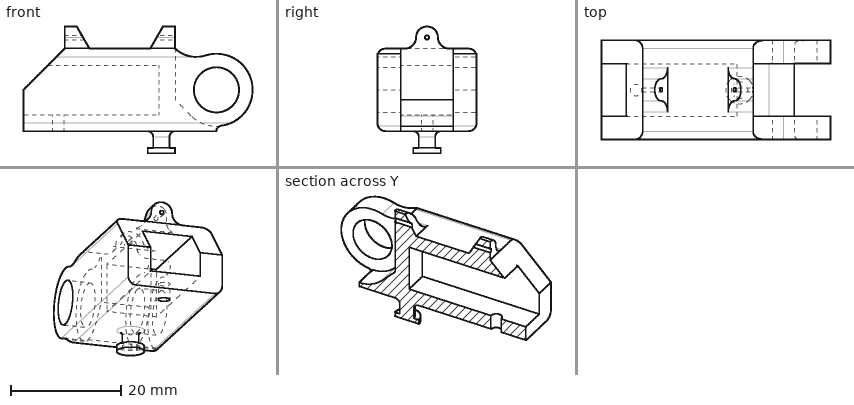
import cadquery as cq
import math

BODY_WIDTH = 18.0
BODY_HEIGHT = 15.0
EDGE_RADIUS = 1.5
WALL = 3.0
MID_Z = BODY_HEIGHT / 2
NOSE_BEVEL = BODY_HEIGHT - MID_Z

EYE_X = 35.0
EYE_BORE_DIAMETER = 8.14
EYE_RING = 2.5
EYE_RADIUS = EYE_BORE_DIAMETER / 2 + EYE_RING
NECK_X = 33.0

POCKET_WIDTH = 9.5
GAP_START_X = 27.5
RAMP_DEGREES = 45.0
POCKET_END_X = GAP_START_X - WALL
FLOOR_HOLE_DIAMETER = 2.1
FLOOR_HOLE_X = 6.25

LUG_HEIGHT = 4.0
LUG_LENGTH = 4.5
LUG_RADIUS = 2.0
LUG_HALF_BASE = 4.0
LUG_SLOPE_DEGREES = 60.0
LUG_HOLE_DIAMETER = 0.75

PIN_DIAMETER = 3.0
PIN_HEAD_DIAMETER = 5.0
PIN_LENGTH = 4.0
PIN_HEAD_THICKNESS = 1.0
PIN_FILLET = 1.0
PIN_X = GAP_START_X - PIN_HEAD_DIAMETER / 2

OVERLAP = 0.5


def cylinder_along_y(radius, x, z):
    """Cylinder across the full body width, with its axis along Y."""
    return cq.Workplane("XZ", origin=(x, 0, z)).circle(radius).extrude(BODY_WIDTH / 2, both=True)


def block(x_start, x_end, width, z_start, z_end):
    """Box centred on Y between the given X and Z limits."""
    size = (x_end - x_start, width, z_end - z_start)
    return cq.Workplane("XY").box(*size, centered=(False, True, False)).translate((x_start, 0, z_start))


def neck_direction():
    """Unit X and Z direction from the eye centre to the neck, where the top hollow meets the eye."""
    neck_dx = (NECK_X - EYE_X) / EYE_RADIUS
    return neck_dx, math.sqrt(1 - neck_dx**2)


def top_hollow():
    """Centre X, centre Z and radius of the hollow tangent to the eye and starting at the top of the gap wall."""
    neck_dx, neck_dz = neck_direction()
    run = NECK_X - GAP_START_X
    drop = BODY_HEIGHT - (MID_Z + EYE_RADIUS * neck_dz)
    radius = (run**2 + drop**2) / (2 * (drop * neck_dz - run * neck_dx))
    reach = EYE_RADIUS + radius
    return EYE_X + reach * neck_dx, MID_Z + reach * neck_dz, radius


def side_profile():
    """Side outline: bevelled nose, round eye, and hollows blending the eye into the bar."""
    neck_dx, neck_dz = neck_direction()
    neck_z = MID_Z + EYE_RADIUS * neck_dz
    hollow_x, hollow_z, hollow_radius = top_hollow()
    start_angle = math.atan2(BODY_HEIGHT - hollow_z, GAP_START_X - hollow_x)
    end_angle = math.atan2(-neck_dz, -neck_dx)
    mid_angle = (start_angle + end_angle) / 2
    hollow_mid = (
        hollow_x + hollow_radius * math.cos(mid_angle),
        hollow_z + hollow_radius * math.sin(mid_angle),
    )

    fillet_radius = (MID_Z**2 - EYE_RADIUS**2) / (2 * EYE_RADIUS)
    fillet_x = EYE_X + fillet_radius
    touch_angle = math.atan2(MID_Z, -fillet_radius)
    touch = (
        fillet_x + fillet_radius * math.cos(touch_angle),
        fillet_radius * math.sin(touch_angle),
    )
    fillet_mid_angle = (math.pi + touch_angle) / 2
    fillet_mid = (
        fillet_x + fillet_radius * math.cos(fillet_mid_angle),
        fillet_radius * math.sin(fillet_mid_angle),
    )

    return (
        cq.Workplane("XZ")
        .moveTo(0, 0)
        .lineTo(0, MID_Z)
        .lineTo(NOSE_BEVEL, BODY_HEIGHT)
        .lineTo(GAP_START_X, BODY_HEIGHT)
        .threePointArc(hollow_mid, (NECK_X, neck_z))
        .threePointArc((EYE_X + EYE_RADIUS, MID_Z), touch)
        .threePointArc(fillet_mid, (EYE_X, 0))
        .close()
    )


def make_body():
    """Bar trimmed to the side outline; its long edges are rounded, except along the top of the eye."""
    bar = block(0, EYE_X + EYE_RADIUS, BODY_WIDTH, 0, BODY_HEIGHT).edges("|X").fillet(EDGE_RADIUS)
    hollow_x, _, _ = top_hollow()
    eye_top = block(hollow_x, EYE_X + EYE_RADIUS, BODY_WIDTH, MID_Z, BODY_HEIGHT)
    return bar.union(eye_top).intersect(side_profile().extrude(BODY_WIDTH / 2, both=True))


def clevis_gap():
    """Space between the arms: upright wall, sloping ramp, then a trough in line with the eye."""
    slope = math.radians(RAMP_DEGREES)
    ramp_end_x = EYE_X - EYE_RADIUS * math.sin(slope)
    ramp_end_z = MID_Z - EYE_RADIUS * math.cos(slope)
    ramp_start_z = ramp_end_z + (ramp_end_x - GAP_START_X) * math.tan(slope)
    trough_mid = (
        EYE_X - EYE_RADIUS * math.sin(slope / 2),
        MID_Z - EYE_RADIUS * math.cos(slope / 2),
    )
    return (
        cq.Workplane("XZ")
        .moveTo(GAP_START_X, BODY_HEIGHT)
        .lineTo(GAP_START_X, ramp_start_z)
        .lineTo(ramp_end_x, ramp_end_z)
        .threePointArc(trough_mid, (EYE_X, MID_Z - EYE_RADIUS))
        .lineTo(EYE_X, 0)
        .lineTo(EYE_X + EYE_RADIUS, 0)
        .lineTo(EYE_X + EYE_RADIUS, BODY_HEIGHT)
        .close()
        .extrude(POCKET_WIDTH / 2, both=True)
    )


def make_lug():
    """Lug with its upright face at X = 0 and its sloping face toward +X."""
    centre_z = LUG_HEIGHT - LUG_RADIUS
    flare = LUG_HALF_BASE - LUG_RADIUS
    flare_offset = flare * math.sqrt(0.5)
    flare_mid_y = LUG_HALF_BASE - flare_offset
    flare_mid_z = centre_z - flare_offset
    shape = (
        cq.Workplane("YZ")
        .moveTo(-LUG_HALF_BASE, -OVERLAP)
        .lineTo(-LUG_HALF_BASE, 0)
        .threePointArc((-flare_mid_y, flare_mid_z), (-LUG_RADIUS, centre_z))
        .threePointArc((0, LUG_HEIGHT), (LUG_RADIUS, centre_z))
        .threePointArc((flare_mid_y, flare_mid_z), (LUG_HALF_BASE, 0))
        .lineTo(LUG_HALF_BASE, -OVERLAP)
        .close()
        .extrude(LUG_LENGTH)
    )
    top_length = LUG_LENGTH - LUG_HEIGHT / math.tan(math.radians(LUG_SLOPE_DEGREES))
    slope = (
        cq.Workplane("XZ")
        .moveTo(0, -OVERLAP)
        .lineTo(0, LUG_HEIGHT)
        .lineTo(top_length, LUG_HEIGHT)
        .lineTo(LUG_LENGTH, 0)
        .lineTo(LUG_LENGTH, -OVERLAP)
        .close()
        .extrude(LUG_HALF_BASE, both=True)
    )
    hole = cq.Workplane("YZ", origin=(0, 0, centre_z)).circle(LUG_HOLE_DIAMETER / 2).extrude(LUG_LENGTH)
    return shape.intersect(slope).cut(hole)


def make_pin():
    """Headed pin flaring into the underside of the body."""
    radius = PIN_DIAMETER / 2
    head_radius = PIN_HEAD_DIAMETER / 2
    head_top = PIN_HEAD_THICKNESS - PIN_LENGTH
    flare_offset = PIN_FILLET * (1 - math.sqrt(0.5))
    outline = (
        cq.Workplane("XZ", origin=(PIN_X, 0, 0))
        .moveTo(0, OVERLAP)
        .lineTo(0, -PIN_LENGTH)
        .lineTo(head_radius, -PIN_LENGTH)
        .lineTo(head_radius, head_top)
        .lineTo(radius, head_top)
        .lineTo(radius, -PIN_FILLET)
        .threePointArc((radius + flare_offset, -flare_offset), (radius + PIN_FILLET, 0))
        .lineTo(radius + PIN_FILLET, OVERLAP)
        .close()
    )
    return outline.revolve(360, (0, 0, 0), (0, 1, 0))


pocket = block(0, POCKET_END_X, POCKET_WIDTH, WALL, BODY_HEIGHT - WALL)
floor_hole = cq.Workplane("XY").center(FLOOR_HOLE_X, 0).circle(FLOOR_HOLE_DIAMETER / 2).extrude(WALL)
eye_bore = cylinder_along_y(EYE_BORE_DIAMETER / 2, EYE_X, MID_Z)
front_lug = make_lug().translate((NOSE_BEVEL, 0, BODY_HEIGHT))
rear_lug = make_lug().mirror("YZ").translate((GAP_START_X, 0, BODY_HEIGHT))

body = make_body().cut(pocket).cut(clevis_gap()).cut(eye_bore).cut(floor_hole)
result = body.union(front_lug).union(rear_lug).union(make_pin())